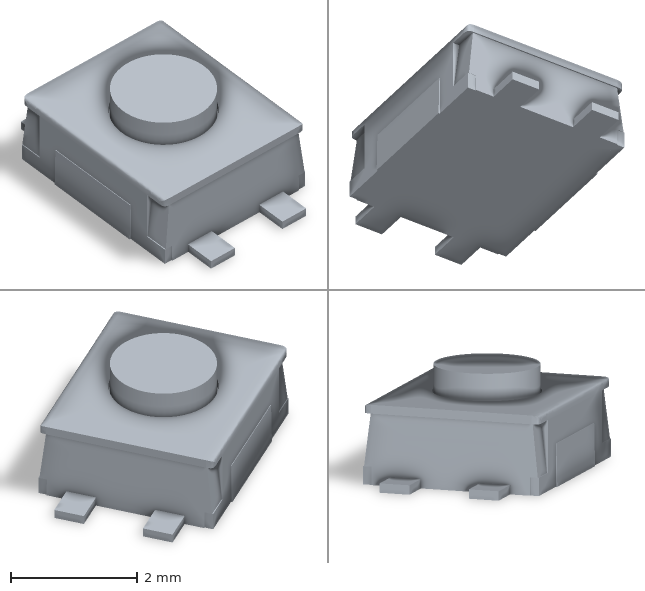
import cadquery as cq

OVERALL_LENGTH = 4.6
OVERALL_HEIGHT = 1.73
OVERALL_WIDTH = 3.0
SHEET = 0.143

COVER_LENGTH = 3.44
COVER_WIDTH = 2.955
COVER_TOP = 1.293
COVER_UNDERSIDE = COVER_TOP - SHEET
BEND_DEPTH = 0.2
WALL_LENGTH = 2.595
TRIM_OVERSHOOT = 0.001
STRIP_LENGTH = 3.46
STRIP_HEIGHT = 0.295
HOLE_RADIUS = 0.875

BASE_BOTTOM_LENGTH = 3.495
BASE_TOP_LENGTH = 3.395
BASE_BOTTOM_WIDTH = 2.99
BASE_TOP_WIDTH = 2.725
TAB_LENGTH = 1.812
TAB_HEIGHT = 0.7
TAB_TOP_REACH = 1.485
BUTTON_RADIUS = 0.85

TERMINAL_WIDTH = 0.5
TERMINAL_THICKNESS = 0.15
TERMINAL_Y = 0.75

SIDES = (-1, 1)
FLOOR = (True, True, False)


def make_top_plate():
    """Cover plate with bends along its two long edges and rounded plan corners."""
    half_x = COVER_LENGTH / 2
    half_y = COVER_WIDTH / 2
    flat_x = half_x - BEND_DEPTH
    flat_y = half_y - BEND_DEPTH

    plate = (
        cq.Workplane("YZ", origin=(-half_x, 0, 0))
        .moveTo(-half_y, COVER_UNDERSIDE)
        .lineTo(half_y, COVER_UNDERSIDE)
        .bezier([
            (half_y, COVER_UNDERSIDE), (half_y, COVER_TOP), (half_y, COVER_TOP), (flat_y, COVER_TOP),
        ])
        .lineTo(-flat_y, COVER_TOP)
        .bezier([
            (-flat_y, COVER_TOP), (-half_y, COVER_TOP), (-half_y, COVER_TOP), (-half_y, COVER_UNDERSIDE),
        ])
        .close()
        .extrude(COVER_LENGTH)
    )

    for side_x in SIDES:
        for side_y in SIDES:
            corner = (side_x * half_x, side_y * half_y)
            outside = (side_x * (half_x + SHEET), side_y * (half_y + SHEET))
            start = (side_x * (half_x + TRIM_OVERSHOOT), side_y * flat_y)
            end = (side_x * flat_x, side_y * (half_y + TRIM_OVERSHOOT))
            trim = (
                cq.Workplane("XY", origin=(0, 0, COVER_UNDERSIDE - SHEET))
                .moveTo(*start)
                .bezier([start, corner, corner, end])
                .lineTo(*outside)
                .close()
                .extrude(OVERALL_HEIGHT)
            )
            plate = plate.cut(trim)
    return plate


def make_cover():
    """Sheet cover: pierced top plate, two side walls with foot strips and tab windows."""
    cover = make_top_plate()
    wall_y = (COVER_WIDTH - SHEET) / 2
    for side in SIDES:
        at_wall = cq.Workplane("XY", origin=(0, side * wall_y, 0))
        wall = at_wall.box(WALL_LENGTH, SHEET, COVER_UNDERSIDE, centered=FLOOR)
        strip = at_wall.box(STRIP_LENGTH, SHEET, STRIP_HEIGHT, centered=FLOOR)
        window = at_wall.box(TAB_LENGTH, SHEET, TAB_HEIGHT, centered=FLOOR)
        cover = cover.union(wall.union(strip).cut(window))
    hole = cq.Workplane("XY", origin=(0, 0, COVER_UNDERSIDE)).circle(HOLE_RADIUS).extrude(SHEET)
    return cover.cut(hole)


def make_drafted_block():
    """Base block narrowing upwards to the underside of the cover plate."""
    return (
        cq.Workplane("XY")
        .rect(BASE_BOTTOM_LENGTH, BASE_BOTTOM_WIDTH)
        .workplane(offset=COVER_UNDERSIDE)
        .rect(BASE_TOP_LENGTH, BASE_TOP_WIDTH)
        .loft(ruled=True)
    )


def make_wall_clearance():
    """Space taken out of the base for the cover walls and everything outside them."""
    inner_y = COVER_WIDTH / 2 - SHEET
    depth = OVERALL_WIDTH / 2 - inner_y
    clearance = cq.Workplane("XY")
    for side in SIDES:
        at_wall = cq.Workplane("XY", origin=(0, side * (inner_y + depth / 2), 0))
        wall = at_wall.box(WALL_LENGTH, depth, COVER_UNDERSIDE, centered=FLOOR)
        strip = at_wall.box(OVERALL_LENGTH, depth, STRIP_HEIGHT, centered=FLOOR)
        clearance = clearance.union(wall.union(strip))
    return clearance


def make_tab_bar():
    """Bar across the base whose two drafted ends form the locking tabs."""
    bottom_reach = OVERALL_WIDTH / 2
    return (
        cq.Workplane("YZ")
        .polyline([
            (-bottom_reach, 0),
            (bottom_reach, 0),
            (TAB_TOP_REACH, TAB_HEIGHT),
            (-TAB_TOP_REACH, TAB_HEIGHT),
        ])
        .close()
        .extrude(TAB_LENGTH / 2, both=True)
    )


def make_base():
    """Base block with its locking tabs and the round button that rises through the cover."""
    button_height = OVERALL_HEIGHT - COVER_UNDERSIDE
    button = (
        cq.Workplane("XY", origin=(0, 0, COVER_UNDERSIDE))
        .circle(BUTTON_RADIUS)
        .extrude(button_height)
    )
    block = make_drafted_block().cut(make_wall_clearance())
    return block.union(make_tab_bar()).union(button)


def make_terminal(side_x, side_y):
    """Flat terminal that butts against the drafted end of the base."""
    reach = OVERALL_LENGTH / 2
    bar = cq.Workplane("XY", origin=(side_x * reach / 2, side_y * TERMINAL_Y, 0)).box(
        reach, TERMINAL_WIDTH, TERMINAL_THICKNESS, centered=FLOOR
    )
    return bar.cut(make_drafted_block())


cover = make_cover()
base = make_base()
terminals = [make_terminal(side_x, side_y) for side_x in SIDES for side_y in SIDES]

result = cq.Compound.makeCompound([
    cover.solids().val(),
    base.solids().val(),
    *[terminal.solids().val() for terminal in terminals],
])